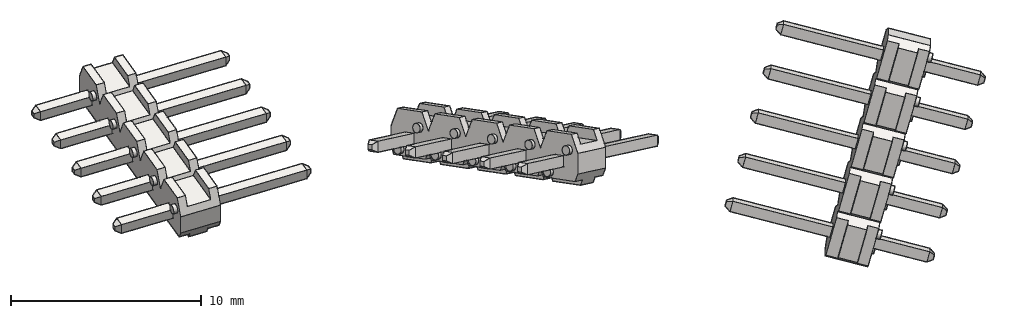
import cadquery as cq


pin_count = 5
length = 12.7
pitch = length / pin_count
pin_positions = [(i - (pin_count - 1) / 2) * pitch for i in range(pin_count)]

housing_depth = 2.3
top_z = 1.5
upper_shoulder_z = 0.53
lower_shoulder_z = -0.57
bottom_z = -1.3
top_width = 1.66
bottom_width = 1.88

channel_floor_z = 0.94
channel_front_wall = 0.47
channel_width = 1.35

foot_top_z = -0.99
foot_front_inset = 0.61
foot_width = 1.05

peg_diameter = 0.51
peg_height = 0.23
peg_offset = 0.65

pin_size = 0.6
pin_tip_size = 0.27
pin_taper_length = 0.3
pin_front_reach = 3.28
pin_length = 11.3
pin_shank_length = pin_length - 2 * pin_taper_length


def row_box(y_start, y_end, z_start, z_end):
    """A box spanning the whole row between the given Y and Z limits."""
    size = (length, y_end - y_start, z_end - z_start)
    return cq.Workplane("XY").box(*size, centered=(True, False, False)).translate((0, y_start, z_start))


def housing_block():
    """Row of eight-sided cells, joined at their sides, extruded along the pins."""
    upper_edge = [(-length / 2, upper_shoulder_z)]
    lower_edge = [(-length / 2, lower_shoulder_z)]
    for x in pin_positions:
        upper_edge += [
            (x - top_width / 2, top_z),
            (x + top_width / 2, top_z),
            (x + pitch / 2, upper_shoulder_z),
        ]
        lower_edge += [
            (x - bottom_width / 2, bottom_z),
            (x + bottom_width / 2, bottom_z),
            (x + pitch / 2, lower_shoulder_z),
        ]
    outline = upper_edge + lower_edge[::-1]
    return cq.Workplane("XZ").polyline(outline).close().extrude(-housing_depth)


def pegs():
    """Pegs standing forward from the front face."""
    centers = []
    for x in pin_positions:
        centers += [(x + peg_offset, peg_offset), (x - peg_offset, -peg_offset)]
    return cq.Workplane("XZ").pushPoints(centers).circle(peg_diameter / 2).extrude(peg_height)


def pin_hole(x):
    """Square through hole that the pin fills."""
    return cq.Workplane("XZ").center(x, 0).rect(pin_size, pin_size).extrude(-housing_depth)


def make_housing():
    """Housing with its top channel, foot rail, pegs and pin holes."""
    channel = row_box(channel_front_wall, channel_front_wall + channel_width, channel_floor_z, top_z)
    front_relief = row_box(0, foot_front_inset, bottom_z, foot_top_z)
    back_relief = row_box(foot_front_inset + foot_width, housing_depth, bottom_z, foot_top_z)
    body = housing_block().cut(channel).cut(front_relief).cut(back_relief).union(pegs())
    for x in pin_positions:
        body = body.cut(pin_hole(x))
    return body


def pin_tip(x, base_y, reach):
    """Taper from the shank end at base_y to the blunt end, reach away along Y."""
    return (
        cq.Workplane("XZ", origin=(x, base_y, 0))
        .rect(pin_size, pin_size)
        .workplane(offset=-reach)
        .rect(pin_tip_size, pin_tip_size)
        .loft(ruled=True)
    )


def make_pin(x):
    """Square pin with a blunt pyramid taper at each end."""
    shank_front_y = -pin_front_reach + pin_taper_length
    shank_back_y = shank_front_y + pin_shank_length
    shank = (
        cq.Workplane("XZ", origin=(x, shank_front_y, 0))
        .rect(pin_size, pin_size)
        .extrude(-pin_shank_length)
    )
    front_tip = pin_tip(x, shank_front_y, -pin_taper_length)
    back_tip = pin_tip(x, shank_back_y, pin_taper_length)
    return shank.union(front_tip).union(back_tip)


housing = make_housing()
pins = [make_pin(x) for x in pin_positions]

result = cq.Compound.makeCompound([housing.solids().val(), *[pin.solids().val() for pin in pins]])